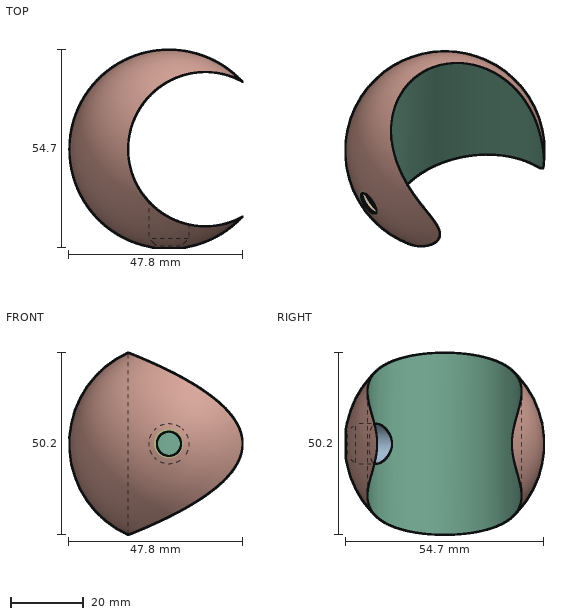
import cadquery as cq

ball_radius = 27.5

opening_radius = 21.2
opening_offset = 10.0

flat_radius = 4.05
lip_radius = 3.35
lip_length = 0.5
flare_length = 2.2
wide_radius = lip_radius + flare_length
flat_y = -((ball_radius**2 - flat_radius**2) ** 0.5)


def crescent():
    """Ball with the vertical round opening cut right through."""
    ball = cq.Workplane("XY").sphere(ball_radius)
    opening = (
        cq.Workplane("XY")
        .center(opening_offset, 0)
        .circle(opening_radius)
        .extrude(ball_radius, both=True)
    )
    return ball.cut(opening)


def flat_cutter():
    """Cylinder reaching outwards from the flat on the -Y side."""
    axis = cq.Vector(0, 1, 0)
    start = cq.Vector(0, flat_y - ball_radius, 0)
    return cq.Workplane(obj=cq.Solid.makeCylinder(ball_radius, ball_radius, start, axis))


def flared_bore():
    """Bore from the flat to the opening: lip, conical flare, then the wider bore."""
    flare_start = flat_y + lip_length
    flare_end = flare_start + flare_length
    profile = (
        cq.Workplane("XY")
        .moveTo(0, flat_y)
        .lineTo(lip_radius, flat_y)
        .lineTo(lip_radius, flare_start)
        .lineTo(wide_radius, flare_end)
        .lineTo(wide_radius, 0)
        .lineTo(0, 0)
        .close()
    )
    return profile.revolve(360, (0, 0, 0), (0, 1, 0))


result = crescent().cut(flat_cutter()).cut(flared_bore())